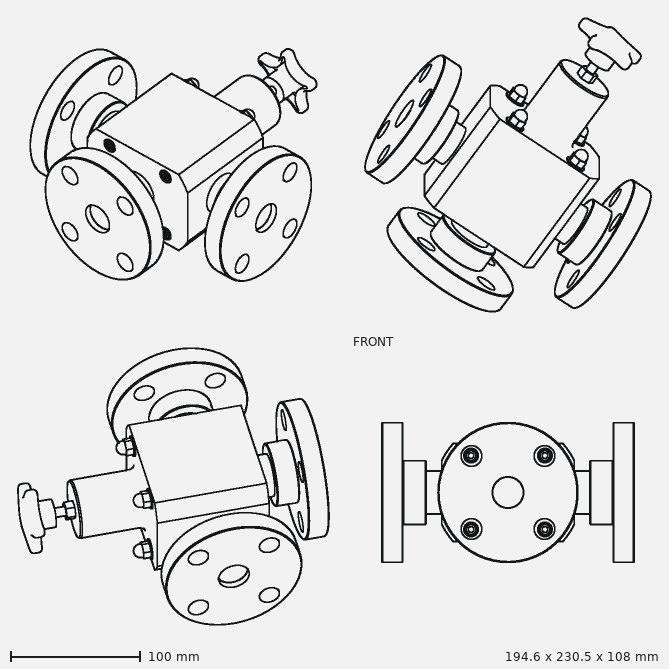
import cadquery as cq
import math


body_width = 102.5
body_height = 75.9
body_front = -39.2
body_back = 49.5
body_corner_radius = 56.7

side_port_reach = 97.3
front_port_reach = 86.0
flange_diameter = 108.0
flange_thickness = 16.4
hub_diameter = 49.4
hub_length = 17.8
pipe_diameter = 33.5
edge_chamfer = 0.7
socket_diameter = 24.2
socket_depth = 5.0
bore_diameter = 23.8
flange_hole_diameter = 16.0
flange_hole_spacing = 56.3

body_bolt_spacing = 57.0
recess_diameter = 11.0
recess_depth = 1.8
stud_diameter = 9.5
stud_chamfer = 1.0
center_hole_diameter = 4.4
center_hole_depth = 1.2
drill_point_angle = 120
washer_diameter = 16.0
washer_thickness = 1.0
nut_across_flats = 11.5
nut_turn = 30
nut_height = 5.8
dome_collar_height = 1.4
dome_diameter = 10.5

bonnet_diameter = 45.7
bonnet_end = 103.5
bonnet_chamfer_along = 1.4
bonnet_chamfer_in = 0.7
bonnet_base_fillet = 6.5
gland_across_flats = 12.5
gland_end = 110.5
spindle_diameter = 7.4

wheel_boss_diameter = 22.1
wheel_boss_start = 120.0
wheel_front = 132.4
wheel_back = 144.5
wheel_rim_height = 8.8
lobe_count = 5
lobe_center_radius = 24.0
lobe_tip_radius = 4.5
valley_radius = 16.8
wheel_front_fillet = 3.2
wheel_back_fillet = 2.8
wheel_rim_width = 3.5
wheel_recess_depth = 7.4
wheel_boss_flare = 4.5

wheel_radius = lobe_center_radius + lobe_tip_radius


def plane_facing_back(y):
    """Plane at position y along the spindle: local x is X, local y is -Z, normal is +Y."""
    return cq.Plane(origin=(0, y, 0), xDir=(1, 0, 0), normal=(0, 1, 0))


def back_cylinder(diameter, start, end):
    return cq.Workplane(plane_facing_back(start)).circle(diameter / 2).extrude(end - start)


def hexagon(across_flats, start, end, turn=0):
    """Hexagonal prism along +Y with corners on the X axis, turned by an angle about Y."""
    across_corners = across_flats / math.cos(math.pi / 6)
    prism = cq.Workplane(plane_facing_back(start)).polygon(6, across_corners).extrude(end - start)
    return prism.rotate((0, 0, 0), (0, 1, 0), turn)


def at_bolts(shape):
    """Copies of a shape made on the Y axis, one at each body bolt."""
    half = body_bolt_spacing / 2
    copies = cq.Workplane()
    for x in (-half, half):
        for z in (-half, half):
            copies = copies.add(shape.translate((x, 0, z)))
    return copies.combine()


def make_body():
    block = cq.Workplane().box(body_width, body_back - body_front, body_height)
    block = block.translate((0, (body_back + body_front) / 2, 0))
    return block.intersect(back_cylinder(2 * body_corner_radius, body_front, body_back))


def port_plane(direction, distance):
    """Plane at a distance from the origin that faces along a port direction."""
    side = cq.Vector(*direction).cross(cq.Vector(0, 0, 1))
    return cq.Plane(origin=tuple(distance * c for c in direction), xDir=side, normal=direction)


def make_port(direction, reach):
    flange_start = reach - flange_thickness
    hub_start = flange_start - hub_length
    pipe = cq.Workplane(port_plane(direction, 0)).circle(pipe_diameter / 2).extrude(flange_start)
    hub = cq.Workplane(port_plane(direction, hub_start)).circle(hub_diameter / 2).extrude(hub_length)
    flange = cq.Workplane(port_plane(direction, flange_start)).circle(flange_diameter / 2)
    flange = flange.extrude(flange_thickness)
    hub = hub.edges().chamfer(edge_chamfer)
    flange = flange.edges().chamfer(edge_chamfer)
    holes = cq.Workplane(port_plane(direction, flange_start))
    holes = holes.rect(flange_hole_spacing, flange_hole_spacing, forConstruction=True).vertices()
    holes = holes.circle(flange_hole_diameter / 2).extrude(flange_thickness)
    flange = flange.cut(holes)
    return pipe.union(hub).union(flange)


def make_port_bore(direction, reach, body_face):
    """Stepped blind bore that ends level with the body face."""
    bore = cq.Workplane(port_plane(direction, body_face)).circle(bore_diameter / 2)
    socket = cq.Workplane(port_plane(direction, reach - socket_depth)).circle(socket_diameter / 2)
    return bore.extrude(reach - body_face).union(socket.extrude(socket_depth))


def make_bolt_recess():
    """Ring recess around a chamfered stud end that has a drilled center."""
    recess_floor = body_front + recess_depth
    recess = back_cylinder(recess_diameter, body_front, recess_floor)
    stud = back_cylinder(stud_diameter, body_front, recess_floor)
    stud = stud.faces("<Y").chamfer(stud_chamfer)
    hole_radius = center_hole_diameter / 2
    hole_floor = body_front + center_hole_depth
    drill_tip = hole_floor + hole_radius / math.tan(math.radians(drill_point_angle / 2))
    drill = (
        cq.Workplane()
        .polyline([(0, body_front), (hole_radius, body_front), (hole_radius, hole_floor), (0, drill_tip)])
        .close()
        .revolve(360, (0, 0, 0), (0, 1, 0))
    )
    return recess.cut(stud).union(drill)


def make_nut():
    nut_start = body_back + washer_thickness
    collar_start = nut_start + nut_height
    dome_start = collar_start + dome_collar_height
    washer = back_cylinder(washer_diameter, body_back, nut_start)
    nut = hexagon(nut_across_flats, nut_start, collar_start, nut_turn)
    collar = back_cylinder(dome_diameter, collar_start, dome_start)
    dome = cq.Workplane().sphere(dome_diameter / 2).translate((0, dome_start, 0))
    return washer.union(nut).union(collar).union(dome)


def flared_cylinder(diameter, length, flare):
    """Cylinder along +Y from the origin with a concave fillet that widens its base."""
    radius = diameter / 2
    mid = flare * (1 - math.cos(math.pi / 4))
    return (
        cq.Workplane()
        .lineTo(radius + flare, 0)
        .threePointArc((radius + mid, mid), (radius, flare))
        .lineTo(radius, length)
        .lineTo(0, length)
        .close()
        .revolve(360, (0, 0, 0), (0, 1, 0))
    )


def make_bonnet():
    bonnet = flared_cylinder(bonnet_diameter, bonnet_end - body_back, bonnet_base_fillet)
    bonnet = bonnet.faces(">Y").edges().chamfer(bonnet_chamfer_along, bonnet_chamfer_in)
    return bonnet.translate((0, body_back, 0))


def polar(radius, angle):
    return (radius * math.cos(angle), radius * math.sin(angle))


def star_outline(workplane):
    """Closed star of round lobe tips joined by tangent hollow arcs; one lobe points to +Z."""
    half_pitch = math.pi / lobe_count
    gap = valley_radius - lobe_tip_radius
    hollow_center = (lobe_center_radius**2 - gap**2) / (
        2 * (lobe_center_radius * math.cos(half_pitch) - gap)
    )
    hollow_radius = hollow_center - valley_radius
    share = lobe_tip_radius / (lobe_tip_radius + hollow_radius)
    first_lobe = -math.pi / 2
    outline = workplane
    for i in range(lobe_count):
        lobe = first_lobe + 2 * i * half_pitch
        center = cq.Vector(*polar(lobe_center_radius, lobe))
        before = cq.Vector(*polar(hollow_center, lobe - half_pitch))
        after = cq.Vector(*polar(hollow_center, lobe + half_pitch))
        tip_start = center + (before - center) * share
        tip_end = center + (after - center) * share
        if i == 0:
            first_point = tip_start
            outline = outline.moveTo(tip_start.x, tip_start.y)
        else:
            valley = polar(valley_radius, lobe - half_pitch)
            outline = outline.threePointArc(valley, (tip_start.x, tip_start.y))
        outline = outline.threePointArc(polar(wheel_radius, lobe), (tip_end.x, tip_end.y))
    last_valley = polar(valley_radius, first_lobe - half_pitch)
    return outline.threePointArc(last_valley, (first_point.x, first_point.y)).close()


def make_wheel_dome():
    """Round blank with a spherical back that reaches past the lobe tips."""
    drop = wheel_back - wheel_front - wheel_rim_height
    sphere_radius = (wheel_radius**2 + drop**2) / (2 * drop)
    blank_radius = wheel_radius + 2.3
    sphere_center = wheel_back - sphere_radius

    def back_at(radius):
        return sphere_center + math.sqrt(sphere_radius**2 - radius**2)

    return (
        cq.Workplane()
        .moveTo(0, wheel_front)
        .lineTo(blank_radius, wheel_front)
        .lineTo(blank_radius, back_at(blank_radius))
        .threePointArc((blank_radius / 2, back_at(blank_radius / 2)), (0, wheel_back))
        .close()
        .revolve(360, (0, 0, 0), (0, 1, 0))
    )


def make_handwheel():
    thickness = wheel_back - wheel_front
    star = star_outline(cq.Workplane(plane_facing_back(wheel_front))).extrude(thickness)
    star = star.intersect(make_wheel_dome())
    star = star.faces("<Y").edges().fillet(wheel_front_fillet)
    star = star.faces(">Y").edges().fillet(wheel_back_fillet)
    recess = star_outline(cq.Workplane(plane_facing_back(wheel_front)))
    recess = recess.offset2D(-wheel_rim_width).extrude(wheel_recess_depth)
    recess_floor = wheel_front + wheel_recess_depth
    boss_length = recess_floor - wheel_boss_start
    boss = flared_cylinder(wheel_boss_diameter, boss_length, wheel_boss_flare)
    boss = boss.rotate((0, 0, 0), (0, 0, 1), 180).translate((0, recess_floor, 0))
    return star.cut(recess).union(boss)


side_port_face = body_width / 2
ports = [
    ((-1, 0, 0), side_port_reach, side_port_face),
    ((1, 0, 0), side_port_reach, side_port_face),
    ((0, -1, 0), front_port_reach, -body_front),
]

result = make_body()
for port_direction, port_reach, port_face in ports:
    result = result.union(make_port(port_direction, port_reach))
    result = result.cut(make_port_bore(port_direction, port_reach, port_face))
result = result.cut(at_bolts(make_bolt_recess()))
result = result.union(at_bolts(make_nut()))
result = result.union(make_bonnet())
result = result.union(hexagon(gland_across_flats, bonnet_end, gland_end))
result = result.union(back_cylinder(spindle_diameter, bonnet_end, wheel_front))
result = result.union(make_handwheel())